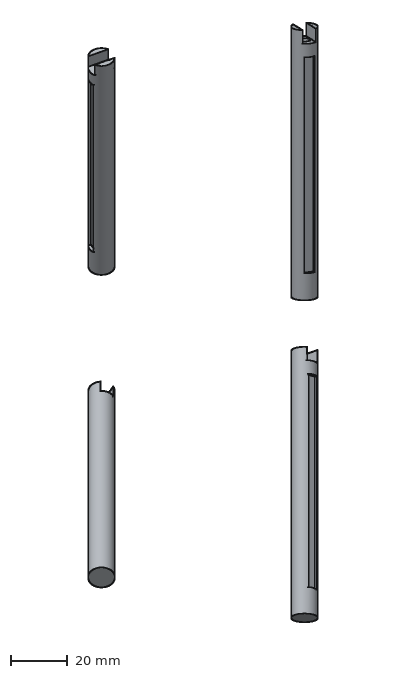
import cadquery as cq

length = 100.0
diameter = 9.5
slot_width = 5.0
slot_depth = 5.0
bore_diameter = 4.0
bore_depth = 5.0
pocket_width = 4.0
pocket_depth = 1.5
pocket_end_gap = 10.0

slot_floor = length - slot_depth
pocket_length = length - 2 * pocket_end_gap
pocket_floor = diameter / 2 - pocket_depth


def make_rod():
    return cq.Workplane("XY").circle(diameter / 2).extrude(length)


def make_end_slot():
    """Open slot across the top end, running along Y."""
    return (
        cq.Workplane("XY")
        .workplane(offset=slot_floor)
        .rect(slot_width, diameter)
        .extrude(slot_depth)
    )


def make_bore():
    """Blind axial hole in the slot floor."""
    return (
        cq.Workplane("XY")
        .workplane(offset=slot_floor)
        .circle(bore_diameter / 2)
        .extrude(-bore_depth)
    )


def make_side_pocket():
    """Long flat-bottomed pocket in the -Y side."""
    return (
        cq.Workplane("XZ", origin=(0, 0, length / 2))
        .workplane(offset=pocket_floor)
        .rect(pocket_width, pocket_length)
        .extrude(pocket_depth)
    )


result = make_rod().cut(make_end_slot()).cut(make_bore()).cut(make_side_pocket())